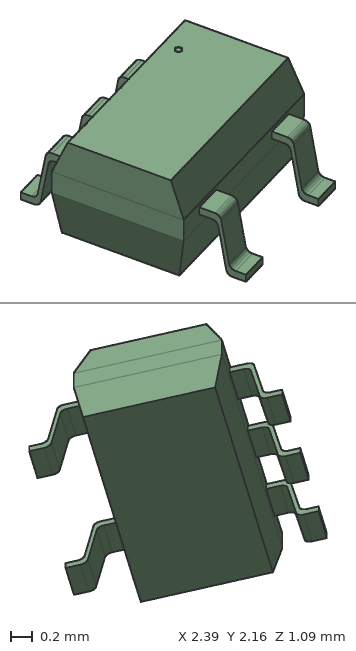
import cadquery as cq
import math

span_x = 2.39
height = 1.09

belt_x = 1.4
belt_y = 2.16
belt_bottom = 0.465
belt_top = 0.712
top_x = 1.095
top_y = 2.103
base_x = 1.248
base_y = 2.06

lead_width = 0.3
lead_pitch = 0.65
lead_thickness = 0.084
lead_top = 0.67
leg_wall = 0.045
leg_lean = math.radians(10)
toe_to_leg = 0.2
bend_radius = 0.07

mark_diameter = 0.07
mark_depth = 0.01
mark_x = -0.38
mark_y = lead_pitch


def frustum(lower, lower_z, upper, upper_z):
    """Straight-sided block between two centred rectangles."""
    return (
        cq.Workplane("XY").workplane(offset=lower_z).rect(*lower)
        .workplane(offset=upper_z - lower_z).rect(*upper)
        .loft(ruled=True)
    )


def make_package():
    belt_size = (belt_x, belt_y)
    lower_half = frustum((base_x, base_y), 0, belt_size, belt_bottom)
    belt = frustum(belt_size, belt_bottom, belt_size, belt_top)
    upper_half = frustum(belt_size, belt_top, (top_x, top_y), height)
    mark = (
        cq.Workplane("XY").workplane(offset=height - mark_depth)
        .center(mark_x, mark_y).circle(mark_diameter / 2).extrude(mark_depth)
    )
    return lower_half.union(belt).union(upper_half).cut(mark)


def make_lead(y):
    """Gull-wing lead on the -X side, ending at the belt face."""
    toe = -span_x / 2
    root = -belt_x / 2
    shoulder_bottom = lead_top - lead_thickness

    def inner_face(z):
        return toe + toe_to_leg + z * math.tan(leg_lean)

    def outer_face(z):
        return inner_face(z) - leg_wall

    outline = [
        (toe, 0),
        (inner_face(0), 0),
        (inner_face(shoulder_bottom), shoulder_bottom),
        (root, shoulder_bottom),
        (root, lead_top),
        (outer_face(lead_top), lead_top),
        (outer_face(lead_thickness), lead_thickness),
        (toe, lead_thickness),
    ]
    blank = (
        cq.Workplane("XZ", origin=(0, y, 0)).polyline(outline).close()
        .extrude(lead_width / 2, both=True)
    )
    bend_zone = cq.selectors.BoxSelector(
        (toe + bend_radius, y - lead_width, -lead_thickness),
        (root - bend_radius, y + lead_width, height),
    )
    return blank.edges("|Y").edges(bend_zone).fillet(bend_radius)


package = make_package()

left_leads = [make_lead(row * lead_pitch) for row in (-1, 0, 1)]
right_leads = [make_lead(row * lead_pitch).mirror("YZ") for row in (-1, 1)]

result = cq.Compound.makeCompound([package.val()] + [lead.val() for lead in left_leads + right_leads])